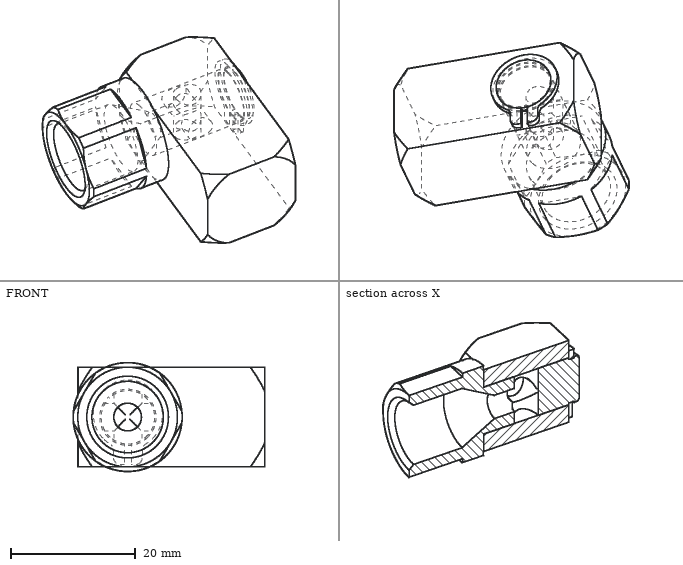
import cadquery as cq
import math


total_length = 32.0
block_length = 30.0
block_side = 16.0
block_round_diameter = 18.0

nut_diameter = 17.5
nut_length = 14.0
nut_collar_length = 4.0
nut_across_flats = block_side
nut_chamfer_angle = 30.0
wrench_flat_count = 6

port_diameter = 11.45
port_mouth_diameter = 13.12
port_depth = 10.0
taper_angle = 60.0
passage_diameter = 4.45

stem_diameter = 9.02
stem_groove_diameter = 8.58
stem_end_fillet = 0.65
ring_thickness = 1.0
ring_outer_radius = 5.55
ring_top = 6.0
ring_lug_reach = 7.6
ring_lugs_width = 4.6
ring_lug_round = 1.12
ring_neck_fillet = 1.1
ring_gap = 1.1

stem_end = total_length - nut_length
ring_end = block_side + ring_thickness
passage_center = block_side / 2
ring_center_z = ring_top - ring_outer_radius


def along_y(start, z=0.0):
    """Sketch plane at the given Y, with X across and Z up; negative extrusions run toward +Y."""
    return cq.Workplane(cq.Plane(origin=(0, start, z), xDir=(1, 0, 0), normal=(0, -1, 0)))


def rod(diameter, start, end):
    """Round bar on the Y axis."""
    return along_y(start).circle(diameter / 2).extrude(start - end)


def cone(start_diameter, end_diameter, start, end):
    """Tapered round bar on the Y axis."""
    profile = [(0, start), (start_diameter / 2, start), (end_diameter / 2, end), (0, end)]
    return cq.Workplane("XY").polyline(profile).close().revolve(360, (0, 0), (0, 1))


def make_block():
    """Square bar with its eight corners turned off, bored for the stem."""
    end_face = cq.Workplane("YZ", origin=(-block_side / 2, passage_center, 0))
    bar = end_face.rect(block_side, block_side).extrude(block_length)

    corner_radius = block_side / math.sqrt(2)
    turned = end_face.circle(corner_radius).extrude(block_length)
    turned = turned.faces("<X or >X").chamfer(corner_radius - block_round_diameter / 2)
    return bar.intersect(turned).cut(rod(stem_diameter, 0, block_side))


def make_nut_head():
    """Round head with wrench flats in front of a plain collar."""
    chamfer_inset = (nut_diameter - nut_across_flats) / 2
    chamfer_end = -nut_length + chamfer_inset * math.tan(math.radians(nut_chamfer_angle))
    head = rod(nut_diameter, chamfer_end, 0)
    head = head.union(cone(nut_across_flats, nut_diameter, -nut_length, chamfer_end))

    hex_corners = nut_across_flats / math.cos(math.pi / wrench_flat_count)
    flats_length = nut_length - nut_collar_length
    flats = along_y(-nut_length).polygon(wrench_flat_count, hex_corners).extrude(-flats_length)
    collar = rod(nut_diameter, -nut_collar_length, 0)
    return head.intersect(flats.union(collar))


def make_stem():
    """Stem through the block, rounded at its end and grooved for the ring."""
    stem = rod(stem_diameter, 0, stem_end).faces(">Y").edges().fillet(stem_end_fillet)
    groove = rod(stem_diameter, block_side, ring_end).cut(rod(stem_groove_diameter, block_side, ring_end))
    return stem.cut(groove)


def make_passages():
    """Port bore with a tapered bottom, the axial hole, and the two cross holes it opens into."""
    mouth_depth = (port_mouth_diameter - port_diameter) / 2
    taper_depth = (port_diameter - passage_diameter) / 2 / math.tan(math.radians(taper_angle / 2))
    mouth_end = -nut_length + mouth_depth
    port_end = -nut_length + port_depth

    passages = rod(passage_diameter, port_end, passage_center)
    passages = passages.union(cone(port_mouth_diameter, port_diameter, -nut_length, mouth_end))
    passages = passages.union(rod(port_diameter, mouth_end, port_end))
    passages = passages.union(cone(port_diameter, passage_diameter, port_end, port_end + taper_depth))

    for plane in ("YZ", "XY"):
        cross_hole = cq.Workplane(plane, origin=(0, passage_center, 0)).circle(passage_diameter / 2)
        passages = passages.union(cross_hole.extrude(stem_diameter / 2, both=True))
    return passages


def make_nut():
    """Hollow nut and stem in one piece."""
    return make_nut_head().union(make_stem()).cut(make_passages())


def make_retaining_ring():
    """Eccentric snap ring, open at the bottom between two lugs."""
    disc = along_y(block_side, ring_center_z).circle(ring_outer_radius).extrude(-ring_thickness)
    lugs = along_y(block_side, -ring_lug_reach / 2).rect(ring_lugs_width, ring_lug_reach).extrude(-ring_thickness)
    lugs = lugs.edges("|Y and <Z").fillet(ring_lug_round)

    neck_z = ring_center_z - math.sqrt(ring_outer_radius**2 - (ring_lugs_width / 2) ** 2)
    ring = disc.union(lugs)
    for side in (-1, 1):
        neck_point = (side * ring_lugs_width / 2, block_side + ring_thickness / 2, neck_z)
        neck_edge = cq.selectors.NearestToPointSelector(neck_point)
        ring = ring.edges("|Y").edges(neck_edge).fillet(ring_neck_fillet)

    gap = along_y(block_side, -ring_lug_reach / 2).rect(ring_gap, ring_lug_reach).extrude(-ring_thickness)
    return ring.cut(rod(stem_groove_diameter, block_side, ring_end)).cut(gap)


block = make_block()
nut = make_nut()
retaining_ring = make_retaining_ring()
result = cq.Compound.makeCompound([block.val(), nut.val(), retaining_ring.val()])